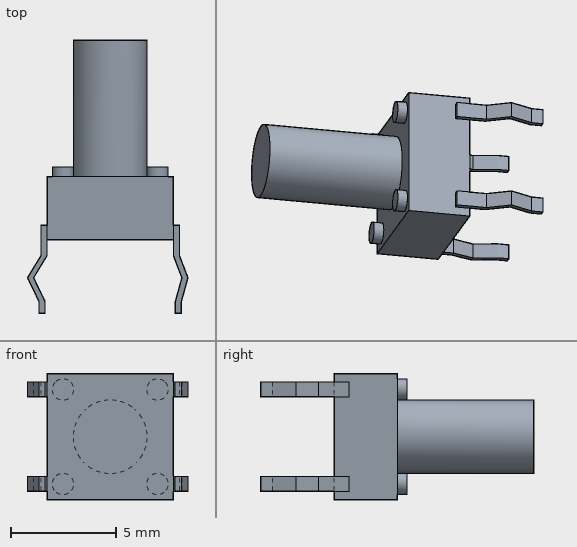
import cadquery as cq

overall_length = 13.0
body_width = 6.0
body_depth = 3.0

plunger_diameter = 3.51
plunger_length = 6.5

post_radius = 0.51
post_height = 0.47
corner_offset = 2.25

leg_height = 0.72
leg_thickness = 0.3
leg_top_y = 0.7
upper_bend_y = -0.75
apex_y = -1.81
lower_bend_y = -2.94
leg_tip_y = body_depth + plunger_length - overall_length
leg_tip_shift = 0.09
left_bulge = 0.64
right_bulge = 0.4


def cylinder_on_body(x, z, radius, height):
    """Cylinder rising along +Y from the plunger-side face of the body."""
    base = cq.Vector(x, body_depth, z)
    return cq.Workplane(cq.Solid.makeCylinder(radius, height, base, cq.Vector(0, 1, 0)))


def leg(side, bulge, z):
    """Bent strip of constant X thickness; side is -1 for left, 1 for right."""
    inner_x = body_width / 2
    inner_edge = [
        (inner_x, leg_top_y),
        (inner_x, upper_bend_y),
        (inner_x + bulge, apex_y),
        (inner_x + leg_tip_shift, lower_bend_y),
        (inner_x + leg_tip_shift, leg_tip_y),
    ]
    outer_edge = [(x + leg_thickness, y) for x, y in reversed(inner_edge)]
    outline = [(side * x, y) for x, y in inner_edge + outer_edge]
    strip = cq.Workplane("XY").polyline(outline).close().extrude(leg_height)
    return strip.translate((0, 0, z - leg_height / 2))


body = cq.Workplane("XY").box(body_width, body_depth, body_width)
result = body.translate((0, body_depth / 2, 0))
result = result.union(cylinder_on_body(0, 0, plunger_diameter / 2, plunger_length))

for z in (-corner_offset, corner_offset):
    for x in (-corner_offset, corner_offset):
        result = result.union(cylinder_on_body(x, z, post_radius, post_height))
    result = result.union(leg(-1, left_bulge, z))
    result = result.union(leg(1, right_bulge, z))